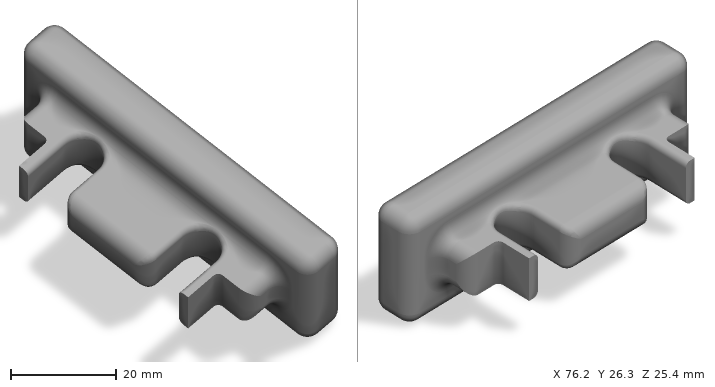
import cadquery as cq

plate_length = 76.2
plate_height = 25.4
plate_depth = 10.05
main_radius = 3.0

tongue_length = 60.95
tongue_height = 10.2
shoulder_depth = 8.0
tongue_depth = 16.2

slot_center_x = 15.5
slot_radius = 4.35
slot_arc_center_y = -6.25
slot_edge_radius = 1.2
leg_thickness = 2.4
leg_root_radius = 1.2

leg_outer_x = slot_center_x + slot_radius + leg_thickness
block_half_length = slot_center_x - slot_radius
selection_margin = 0.1
embed = plate_depth / 2


def make_plate():
    plate = cq.Workplane("XY").box(plate_length, plate_depth, plate_height)
    return plate.translate((0, plate_depth / 2, 0)).edges().fillet(main_radius)


def make_tongue():
    """Stepped plan outline trimmed by a rounded rectangle seen along Y."""
    half_length = tongue_length / 2
    outline = (
        cq.Workplane("XY")
        .polyline([
            (-half_length, embed),
            (-half_length, -shoulder_depth),
            (-leg_outer_x, -shoulder_depth),
            (-leg_outer_x, -tongue_depth),
            (leg_outer_x, -tongue_depth),
            (leg_outer_x, -shoulder_depth),
            (half_length, -shoulder_depth),
            (half_length, embed),
        ])
        .close()
        .extrude(tongue_height / 2, both=True)
    )
    for side in (-1, 1):
        shoulder_corner = (side * half_length, -shoulder_depth, 0)
        leg_root = (side * leg_outer_x, -shoulder_depth, 0)
        outline = outline.edges(cq.NearestToPointSelector(shoulder_corner)).fillet(main_radius)
        outline = outline.edges(cq.NearestToPointSelector(leg_root)).fillet(leg_root_radius)
    envelope = (
        cq.Workplane("XZ", origin=(0, embed, 0))
        .rect(tongue_length, tongue_height)
        .extrude(embed + tongue_depth)
        .edges("|Y")
        .fillet(main_radius)
    )
    return outline.intersect(envelope)


def blend_base(body):
    """Concave round where the tongue meets the plate face."""
    base_zone = cq.selectors.BoxSelector(
        (-tongue_length / 2 - selection_margin, -selection_margin, -tongue_height / 2 - selection_margin),
        (tongue_length / 2 + selection_margin, selection_margin, tongue_height / 2 + selection_margin),
    )
    return body.edges(base_zone).fillet(main_radius)


def make_slot_cutter(center_x):
    return (
        cq.Workplane("XY")
        .moveTo(center_x - slot_radius, -tongue_depth)
        .lineTo(center_x - slot_radius, slot_arc_center_y)
        .threePointArc(
            (center_x, slot_arc_center_y + slot_radius),
            (center_x + slot_radius, slot_arc_center_y),
        )
        .lineTo(center_x + slot_radius, -tongue_depth)
        .close()
        .extrude(plate_height / 2, both=True)
    )


def round_block_front(body):
    """Round all four edges of the block's front face."""
    front_face = cq.NearestToPointSelector((0, -tongue_depth, 0))
    return body.faces(front_face).edges().fillet(main_radius)


def round_slot_edges(body, center_x):
    """Round the upper and lower rims of one slot."""
    half_width = slot_radius + selection_margin
    slot_end_y = slot_arc_center_y + slot_radius
    for side in (-1, 1):
        rim_z = side * tongue_height / 2
        rim_zone = cq.selectors.BoxSelector(
            (center_x - half_width, -tongue_depth, rim_z - slot_edge_radius),
            (center_x + half_width, slot_end_y + selection_margin, rim_z + slot_edge_radius),
        )
        rim = body.edges(rim_zone).edges("not(|X or |Z)")
        body = rim.fillet(slot_edge_radius)
    return body


result = blend_base(make_plate().union(make_tongue()))
for slot_x in (-slot_center_x, slot_center_x):
    result = result.cut(make_slot_cutter(slot_x))
result = round_block_front(result)
for slot_x in (-slot_center_x, slot_center_x):
    result = round_slot_edges(result, slot_x)